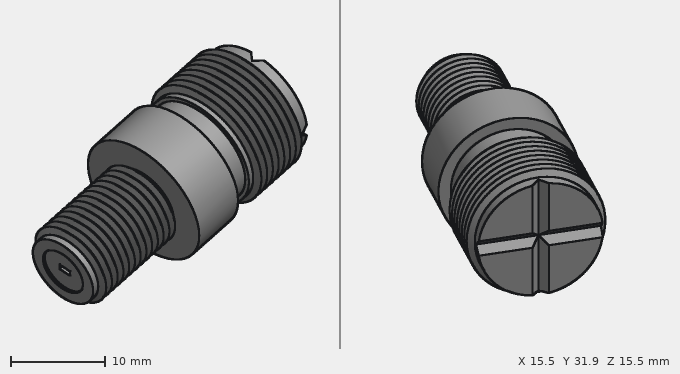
import cadquery as cq

total_length = 31.88
collar_start = 13.2
collar_end = 19.57
relief_end = 22.35

collar_radius = 7.75
relief_radius = 6.38

thread_pitch = 0.94
ridge_width = 0.9
small_root_radius = 4.2
small_crest_radius = 4.95
small_first_crest = 1.28
small_ridge_count = 13
large_root_radius = 6.9
large_crest_radius = 7.65
large_first_crest = 23.5
large_ridge_count = 8

recess_radius = 2.77
recess_depth = 0.3
slot_width = 1.47
slot_height = 0.7
slot_depth = 1.9

groove_depth = 0.9


def thread_points(first_crest, root_radius, crest_radius, ridge_count):
    """(radius, y) points of a row of V-shaped ridges, from root to root."""
    points = []
    for ridge in range(ridge_count):
        crest = first_crest + ridge * thread_pitch
        points.append((root_radius, crest - ridge_width / 2))
        points.append((crest_radius, crest))
        points.append((root_radius, crest + ridge_width / 2))
    return points


def turned_body():
    """Both threads, the relief and the collar, revolved about the Y axis."""
    profile = [
        (0, 0),
        (small_root_radius, 0),
        *thread_points(small_first_crest, small_root_radius, small_crest_radius, small_ridge_count),
        (small_root_radius, collar_start),
        (collar_radius, collar_start),
        (collar_radius, collar_end),
        (relief_radius, collar_end),
        (relief_radius, relief_end),
        (large_root_radius, relief_end),
        *thread_points(large_first_crest, large_root_radius, large_crest_radius, large_ridge_count),
        (large_root_radius, total_length),
        (0, total_length),
    ]
    return cq.Workplane("XY").polyline(profile).close().revolve(360, (0, 0, 0), (0, 1, 0))


def small_end_socket():
    """Round recess in the small end with a rectangular slot in its floor."""
    recess = cq.Workplane("XZ").circle(recess_radius).extrude(-recess_depth)
    slot = cq.Workplane("XZ").rect(slot_width, slot_height).extrude(-(recess_depth + slot_depth))
    return recess.union(slot)


def v_groove():
    """V-groove running along Z across the face of the large end."""
    return (
        cq.Workplane("XY")
        .moveTo(-groove_depth, total_length)
        .lineTo(0, total_length - groove_depth)
        .lineTo(groove_depth, total_length)
        .close()
        .extrude(large_crest_radius, both=True)
    )


result = turned_body().cut(small_end_socket())
for angle in (0, 90):
    result = result.cut(v_groove().rotate((0, 0, 0), (0, 1, 0), angle))